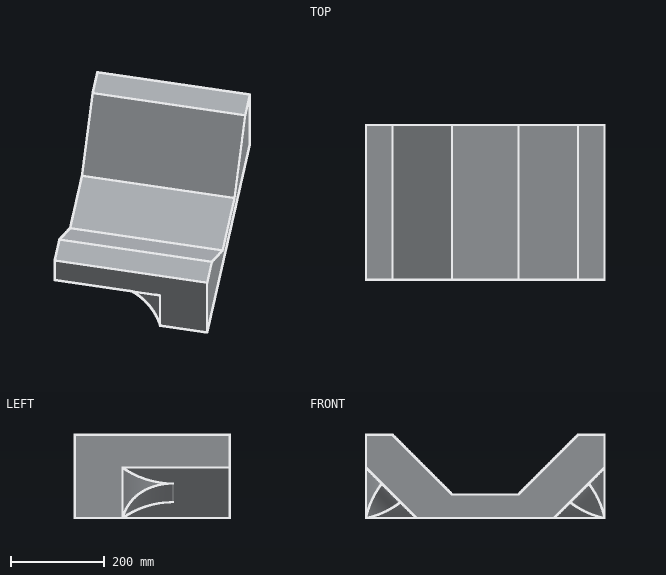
import cadquery as cq
import math

length = 508.0
width = 330.0
height = 178.0

rim_width = 56.5
floor_thickness = 51.0
flank_run = height - floor_thickness

relief_leg = 107.5
relief_end_y = width / 2 - 101.5

gusset_length = 107.0
gusset_start_y = relief_end_y - gusset_length
side_rise = 34.0
corner_rise = relief_leg / math.sqrt(2)


def make_trough():
    half = length / 2
    inner = half - rim_width
    floor_half = inner - flank_run
    profile = [
        (-half, 0),
        (half, 0),
        (half, height),
        (inner, height),
        (floor_half, floor_thickness),
        (-floor_half, floor_thickness),
        (-inner, height),
        (-half, height),
    ]
    return cq.Workplane("XZ").polyline(profile).close().extrude(width / 2, both=True)


def relief_prism(start_y, end_y):
    """Triangular prism filling the lower -X edge between two Y positions."""
    corner = -length / 2
    return (
        cq.Workplane("XZ", origin=(0, start_y, 0))
        .polyline([(corner, 0), (corner + relief_leg, 0), (corner, relief_leg)])
        .close()
        .extrude(start_y - end_y)
    )


def concave_blend(rise, angle):
    """Material inside a concave arc, with its depth direction turned from +X toward +Z.

    The arc starts parallel to Y at the given depth and runs out to the lower
    corner edge at the rear end of the relief.
    """
    radius = (gusset_length**2 + rise**2) / (2 * rise)
    half_sweep = math.asin(gusset_length / radius) / 2
    middle = (
        rise - radius * (1 - math.cos(half_sweep)),
        gusset_start_y + radius * math.sin(half_sweep),
    )
    far_depth = 2 * relief_leg
    blend = (
        cq.Workplane("XY")
        .moveTo(rise, gusset_start_y)
        .threePointArc(middle, (0, relief_end_y))
        .lineTo(far_depth, relief_end_y)
        .lineTo(far_depth, gusset_start_y)
        .close()
        .extrude(2 * relief_leg, both=True)
    )
    return blend.rotate((0, 0, 0), (0, 1, 0), -angle).translate((-length / 2, 0, 0))


def make_relief_cutter():
    gusset = relief_prism(gusset_start_y, relief_end_y)
    for rise, angle in [(side_rise, 0), (corner_rise, 45), (side_rise, 90)]:
        gusset = gusset.intersect(concave_blend(rise, angle))
    return relief_prism(-width / 2, relief_end_y).cut(gusset)


left_relief = make_relief_cutter()
result = make_trough().cut(left_relief).cut(left_relief.mirror("YZ"))